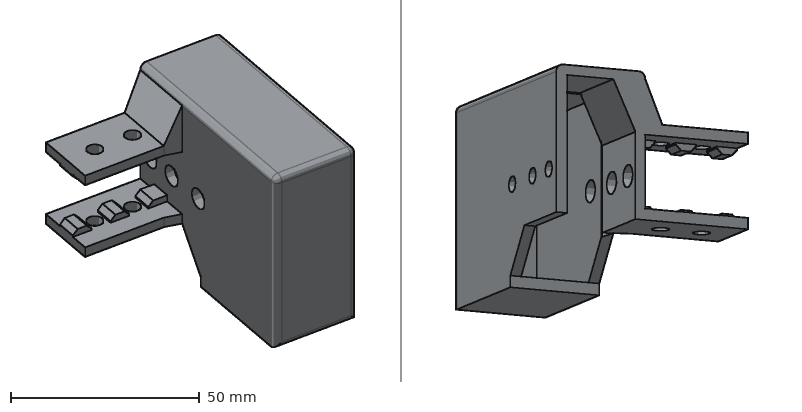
import cadquery as cq

length = 64.5
depth = 26.0
height = 55.2
wall = 3.15
edge_radius = 2.0

mouth_roof = 2.8
mouth_front_wall = 2.9
inner_slope_top_y = 9.35
inner_slope_bottom_z = 38.7

arm_reach = 30.0
arm_thickness = 3.1
arm_gap = 19.95
lower_arm_z = 15.15
upper_arm_z = lower_arm_z + arm_thickness + arm_gap
arm_top_z = upper_arm_z + arm_thickness
arm_width = 18.7
arm_root_width = 20.0
root_reach = 5.0
slant = (arm_root_width - arm_width) / root_reach

floor_start_x = 28.85

tooth_start_x = 6.7
tooth_length = 6.2
tooth_width = 6.0
tooth_height = 2.0
tooth_chamfer = 1.55
tooth_pitch = (arm_reach - tooth_width) / 2

arm_hole_x = 9.9
arm_hole_diameter = 4.6
wall_hole_xs = (4.8, 15.0, 27.7)
wall_hole_z = 27.6
front_hole_diameter = 6.0
back_hole_diameter = 4.2


def box(x0, x1, y0, y1, z0, z1):
    """Box given by its limits along each axis."""
    return cq.Workplane("XY").box(x1 - x0, y1 - y0, z1 - z0, centered=False).translate((x0, y0, z0))


def profile_along_x(points, x0, x1):
    """Extrude a (Y, Z) outline from x0 to x1."""
    return cq.Workplane("YZ").workplane(offset=x0).polyline(points).close().extrude(x1 - x0)


def arm_planform(y_inner, z0, z1):
    """Vertical prism with the arm outline, its slanted root continued inward to y_inner."""
    outline = [
        (0, -arm_reach),
        (arm_width, -arm_reach),
        (arm_width, -root_reach),
        (arm_root_width + slant * y_inner, y_inner),
        (0, y_inner),
    ]
    return cq.Workplane("XY").workplane(offset=z0).polyline(outline).close().extrude(z1 - z0)


def make_housing():
    """Solid block with rounded closed end and rounded top edges."""
    block = box(0, length, 0, depth, 0, height)
    return block.edges(">X or (|X and >Z)").fillet(edge_radius)


def make_arms():
    """Two flat arms and the sloped shoulder above the upper one."""
    lower = arm_planform(wall, lower_arm_z, lower_arm_z + arm_thickness)
    upper = arm_planform(wall, upper_arm_z, arm_top_z)
    shoulder_top_z = height - edge_radius
    shoulder_outline = [
        (wall, arm_top_z),
        (-root_reach, arm_top_z),
        (0, shoulder_top_z),
        (wall, shoulder_top_z),
    ]
    shoulder = profile_along_x(shoulder_outline, 0, length / 2)
    shoulder = shoulder.intersect(arm_planform(wall, arm_top_z, height))
    return lower.union(upper).union(shoulder)


def make_cavity():
    """Main chamber behind the arms plus the mouth with its sloped front upper corner."""
    mouth_end_x = arm_root_width + slant * wall
    chamber = box(mouth_end_x, length - wall, wall, depth - wall, wall, height - wall)
    mouth_outline = [
        (mouth_front_wall, wall),
        (depth - wall, wall),
        (depth - wall, height - mouth_roof),
        (inner_slope_top_y, height - mouth_roof),
        (mouth_front_wall, inner_slope_bottom_z),
    ]
    return chamber.union(profile_along_x(mouth_outline, 0, mouth_end_x))


def make_corner_relief():
    """Cut away the lower corner at the mouth, following the slanted arm root in the front wall."""
    outline = [
        (0, 0),
        (floor_start_x, 0),
        (floor_start_x, wall),
        (arm_root_width, lower_arm_z),
        (0, lower_arm_z),
    ]
    corner = cq.Workplane("XZ").polyline(outline).close().extrude(-depth)
    return corner.union(arm_planform(wall, 0, lower_arm_z))


def make_tooth(index, base_z, direction):
    """Tooth rising from an arm; the innermost one is chamfered on its outer side only."""
    inner_y = -index * tooth_pitch
    outer_y = inner_y - tooth_width
    tip_z = base_z + direction * tooth_height
    chamfer_z = tip_z - direction * tooth_chamfer
    outline = [
        (inner_y, base_z),
        (outer_y, base_z),
        (outer_y, chamfer_z),
        (outer_y + tooth_chamfer, tip_z),
    ]
    if index == 0:
        outline += [(inner_y, tip_z)]
    else:
        outline += [(inner_y - tooth_chamfer, tip_z), (inner_y, chamfer_z)]
    return profile_along_x(outline, tooth_start_x, tooth_start_x + tooth_length)


def wall_hole(x, diameter, y0, y1):
    """Round cutter along Y between y0 and y1."""
    drill = cq.Workplane("XZ").center(x, wall_hole_z).circle(diameter / 2).extrude(y0 - y1)
    return drill.translate((0, y0, 0))


result = make_housing().union(make_arms()).cut(make_cavity()).cut(make_corner_relief())

for tooth_index in range(3):
    result = result.union(make_tooth(tooth_index, lower_arm_z + arm_thickness, 1))
    result = result.union(make_tooth(tooth_index, upper_arm_z, -1))

for gap_index in range(2):
    hole_y = -(tooth_width + tooth_pitch) / 2 - gap_index * tooth_pitch
    drill = cq.Workplane("XY").center(arm_hole_x, hole_y).circle(arm_hole_diameter / 2).extrude(height)
    result = result.cut(drill)

for hole_x in wall_hole_xs:
    result = result.cut(wall_hole(hole_x, front_hole_diameter, 0, depth / 2))
    result = result.cut(wall_hole(hole_x, back_hole_diameter, depth / 2, depth))